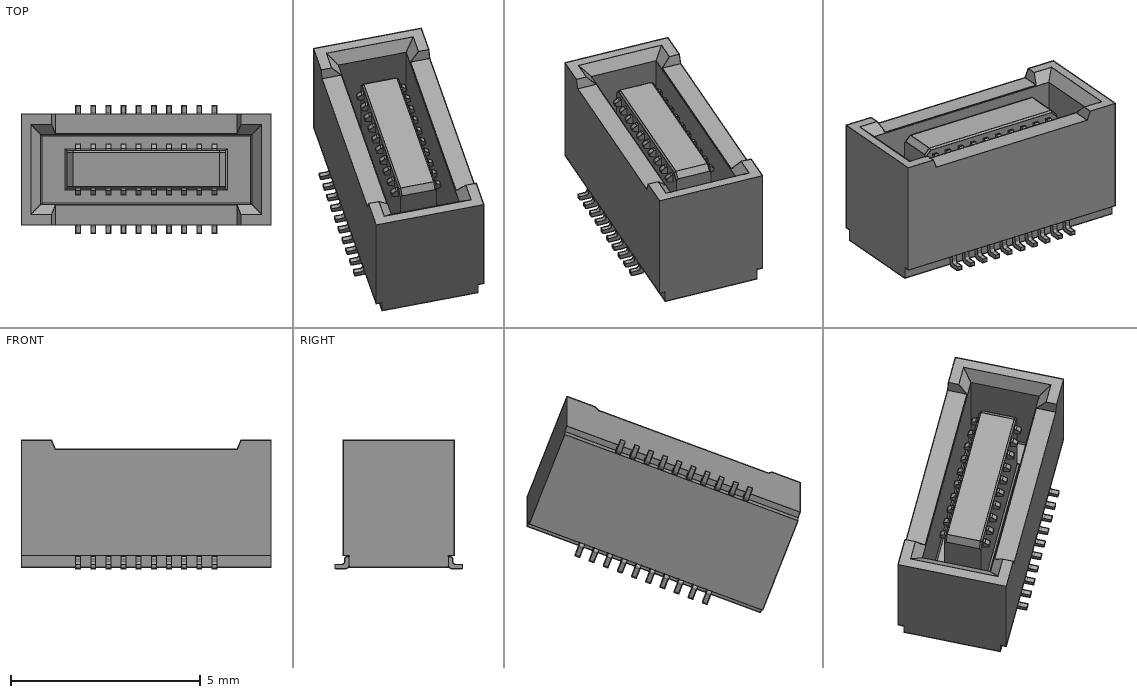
import cadquery as cq

HOUSING_LENGTH = 6.6
HOUSING_WIDTH = 2.94
HOUSING_TOP = 3.4
HOUSING_BOTTOM = 0.04
BASE_WIDTH = 2.62
BASE_TOP = 0.35

NOTCH_DEPTH = 0.24
NOTCH_TOP_LENGTH = 5.0
NOTCH_BOTTOM_LENGTH = 4.8

FLOOR_Z = 0.6
FLOOR_CHAMFER = 0.04
WELL_LENGTH = 5.58
WELL_WIDTH = 1.85
FUNNEL_SIZE = 0.26

TONGUE_TOP_Z = 3.15
TONGUE_LENGTH = 4.18
TONGUE_WIDTH = 0.99
TONGUE_END_CHAMFER = 0.15
TONGUE_SIDE_CHAMFER = 0.045
TONGUE_ROOT_FLARE = 0.05

CONTACTS_PER_ROW = 10
CONTACT_PITCH = 0.4
CONTACT_WIDTH = 0.13

FOOT_SPAN = 3.38
FOOT_THICKNESS = 0.12
FOOT_TOP = 0.32
FOOT_HEEL_RADIUS = 0.1
FOOT_BEND_RADIUS = 0.07
FOOT_TOE_RADIUS = 0.04
FOOT_TIP_RADIUS = 0.06

NUB_REACH = 0.67
NUB_SHOULDER = 0.55
NUB_TOP_Z = TONGUE_TOP_Z - 0.175
NUB_NOSE_TOP_Z = NUB_TOP_Z - 0.08
NUB_NOSE_BOTTOM_Z = NUB_NOSE_TOP_Z - 0.08
NUB_BOTTOM_Z = NUB_TOP_Z - 0.24
NUB_NOSE_FILLET = 0.035
NUB_ROOT = TONGUE_WIDTH / 2 - TONGUE_SIDE_CHAMFER


def box_between(length, width, bottom_z, top_z):
    """Box centred on the Z axis, standing between two heights."""
    return cq.Workplane("XY", origin=(0, 0, bottom_z)).rect(length, width).extrude(top_z - bottom_z)


def flare(length, width, start_z, rise):
    """45-degree frustum that widens from a centred rectangle; a negative rise widens downwards."""
    growth = 2 * abs(rise)
    return (
        cq.Workplane("XY", origin=(0, 0, start_z))
        .rect(length, width)
        .workplane(offset=rise)
        .rect(length + growth, width + growth)
        .loft(ruled=True)
    )


def make_housing():
    """Outer shell: a block on a narrower base."""
    base = box_between(HOUSING_LENGTH, BASE_WIDTH, HOUSING_BOTTOM, BASE_TOP)
    block = box_between(HOUSING_LENGTH, HOUSING_WIDTH, BASE_TOP, HOUSING_TOP)
    return base.union(block)


def make_socket():
    """Space cut from the housing, with a chamfered floor edge and a flared mouth."""
    well = box_between(WELL_LENGTH, WELL_WIDTH, FLOOR_Z, HOUSING_TOP)
    well = well.faces("<Z").edges().chamfer(FLOOR_CHAMFER)
    return well.union(flare(WELL_LENGTH, WELL_WIDTH, HOUSING_TOP - FUNNEL_SIZE, FUNNEL_SIZE))


def make_notch():
    """Trapezoidal cut across both long walls."""
    notch_z = HOUSING_TOP - NOTCH_DEPTH
    outline = [
        (-NOTCH_TOP_LENGTH / 2, HOUSING_TOP),
        (NOTCH_TOP_LENGTH / 2, HOUSING_TOP),
        (NOTCH_BOTTOM_LENGTH / 2, notch_z),
        (-NOTCH_BOTTOM_LENGTH / 2, notch_z),
    ]
    return cq.Workplane("XZ").polyline(outline).close().extrude(HOUSING_WIDTH / 2, both=True)


def make_tongue():
    """Central tongue: sloped ends, chamfered long rims and a flared root."""
    tongue = box_between(TONGUE_LENGTH, TONGUE_WIDTH, FLOOR_Z, TONGUE_TOP_Z)
    tongue = tongue.faces(">Z").edges("|Y").chamfer(TONGUE_END_CHAMFER)
    slope_bottom_z = TONGUE_TOP_Z - TONGUE_END_CHAMFER
    rim_zone = cq.selectors.BoxSelector(
        (-TONGUE_LENGTH, -TONGUE_WIDTH, slope_bottom_z),
        (TONGUE_LENGTH, TONGUE_WIDTH, TONGUE_TOP_Z + TONGUE_END_CHAMFER),
    )
    tongue = tongue.faces("|Y").edges(rim_zone).chamfer(TONGUE_SIDE_CHAMFER)
    return tongue.union(flare(TONGUE_LENGTH, TONGUE_WIDTH, FLOOR_Z + TONGUE_ROOT_FLARE, -TONGUE_ROOT_FLARE))


def make_foot():
    """One L-shaped solder foot on the +Y side, centred on X = 0."""
    inner_y = BASE_WIDTH / 2
    riser_y = inner_y + FOOT_THICKNESS
    toe_y = FOOT_SPAN / 2
    outline = [
        (inner_y, 0),
        (toe_y, 0),
        (toe_y, FOOT_THICKNESS),
        (riser_y, FOOT_THICKNESS),
        (riser_y, FOOT_TOP),
        (inner_y, FOOT_TOP),
    ]
    foot = cq.Workplane("YZ").polyline(outline).close().extrude(CONTACT_WIDTH / 2, both=True)
    rounded_corners = [
        (inner_y, 0, FOOT_HEEL_RADIUS),
        (toe_y, 0, FOOT_TOE_RADIUS),
        (riser_y, FOOT_THICKNESS, FOOT_BEND_RADIUS),
        (riser_y, FOOT_TOP, FOOT_TIP_RADIUS),
    ]
    for y, z, radius in rounded_corners:
        foot = foot.edges(cq.NearestToPointSelector((0, y, z))).fillet(radius)
    return foot


def make_nub():
    """One contact nub on the +Y side of the tongue, centred on X = 0."""
    outline = [
        (NUB_ROOT, NUB_TOP_Z),
        (NUB_SHOULDER, NUB_TOP_Z),
        (NUB_REACH, NUB_NOSE_TOP_Z),
        (NUB_REACH, NUB_NOSE_BOTTOM_Z),
        (NUB_ROOT, NUB_BOTTOM_Z),
    ]
    nub = cq.Workplane("YZ").polyline(outline).close().extrude(CONTACT_WIDTH / 2, both=True)
    return nub.faces(">Y").edges("|X").fillet(NUB_NOSE_FILLET)


def add_contacts(body):
    """Join both rows of feet and nubs to the body."""
    foot = make_foot()
    nub = make_nub()
    first_x = -(CONTACTS_PER_ROW - 1) * CONTACT_PITCH / 2
    for index in range(CONTACTS_PER_ROW):
        x = first_x + index * CONTACT_PITCH
        for piece in (foot, nub):
            body = body.union(piece.translate((x, 0, 0)))
            body = body.union(piece.mirror("XZ").translate((x, 0, 0)))
    return body


shell = make_housing().cut(make_socket()).cut(make_notch())
result = add_contacts(shell.union(make_tongue()))